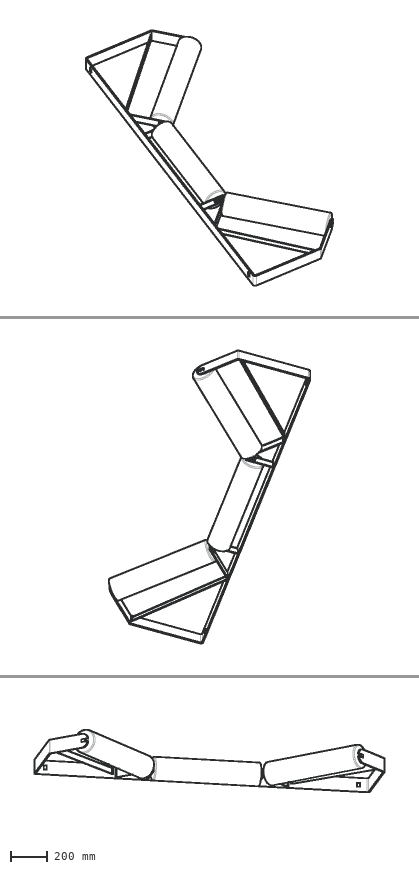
import cadquery as cq
import math

FRAME_LENGTH = 1890.0
FRAME_HEIGHT = 80.0
BAR_THICKNESS = 8.0
BEND_RADIUS = 15.0
ARM_BEND_RADIUS = 8.0
ARM_OVERHANG = 32.0
WALL_DEPTH = 425.0

ROLLER_DIAMETER = 133.0
ROLLER_LENGTH = 601.0
ROLLER_EDGE_RADIUS = 5.0
SPINDLE_DIAMETER = 25.0
SPINDLE_FLATS = 16.3

TROUGH_ANGLE = 45.0
SIDE_ROLLER_X = 565.0
SIDE_ROLLER_Y = 361.0
CENTRE_ROLLER_Y = 123.0
INNER_AXIS_Z = -6.2
OUTER_AXIS_Z = 0.0

BRACKET_THICKNESS = 6.0
BRACKET_HEIGHT = 50.0
BRACKET_Z = -10.4
BRACKET_GAP = 4.0
BRACKET_OVERHANG = 43.0

BRACE_THICKNESS = 6.0
BRACE_HEIGHT = 34.0
BRACE_FOOT_X = 500.0

HOLE_X = 883.0
HOLE_WIDTH = 17.0
HOLE_HEIGHT = 23.0

half_length = FRAME_LENGTH / 2
cos_trough = math.cos(math.radians(TROUGH_ANGLE))
sin_trough = math.sin(math.radians(TROUGH_ANGLE))


def side_point(along, across):
    """XY point on the +X side: along the side roller axis (outwards) and across it (upwards in Y)."""
    return (
        SIDE_ROLLER_X + along * cos_trough - across * sin_trough,
        SIDE_ROLLER_Y + along * sin_trough + across * cos_trough,
    )


arm_face = (half_length - SIDE_ROLLER_X) * cos_trough + (WALL_DEPTH - SIDE_ROLLER_Y) * sin_trough
plate_face = ROLLER_LENGTH / 2 + BRACKET_GAP
plate_back = plate_face + BRACKET_THICKNESS
inner_corner_y = WALL_DEPTH - BAR_THICKNESS * math.tan(math.radians(TROUGH_ANGLE / 2))
side_axis_drop = OUTER_AXIS_Z - INNER_AXIS_Z
side_axis_tilt = math.degrees(math.atan2(side_axis_drop, arm_face + plate_back))
side_axis_z = INNER_AXIS_Z + plate_back * math.tan(math.radians(side_axis_tilt))


def on_both_sides(shape):
    return shape.union(shape.mirror("YZ"))


def flat_bar(points, height, middle_z):
    """Closed XY outline extruded symmetrically about a height."""
    return (
        cq.Workplane("XY").workplane(offset=middle_z - height / 2).polyline(points).close().extrude(height)
    )


def place_on_side_axis(shape):
    """Move a shape built along +X about the origin onto the tilted axis of the +X side roller."""
    return (
        shape.rotate((0, 0, 0), (0, 1, 0), -side_axis_tilt)
        .rotate((0, 0, 0), (0, 0, 1), TROUGH_ANGLE)
        .translate((SIDE_ROLLER_X, SIDE_ROLLER_Y, side_axis_z))
    )


def place_on_centre_axis(shape):
    return shape.translate((0, CENTRE_ROLLER_Y, INNER_AXIS_Z))


def spindle(start, end):
    """Round spindle along X with two flats facing up and down."""
    length = end - start
    rod = cq.Workplane("YZ").workplane(offset=start).circle(SPINDLE_DIAMETER / 2).extrude(length)
    flats = cq.Workplane("YZ").workplane(offset=start).rect(SPINDLE_DIAMETER, SPINDLE_FLATS).extrude(length)
    return rod.intersect(flats)


def roller(spindle_start, spindle_end):
    """Solid roller along X, centred on the origin, with its spindle ends."""
    drum = (
        cq.Workplane("YZ").workplane(offset=-ROLLER_LENGTH / 2)
        .circle(ROLLER_DIAMETER / 2).extrude(ROLLER_LENGTH)
        .edges("%CIRCLE").fillet(ROLLER_EDGE_RADIUS)
    )
    return drum.union(spindle(spindle_start, spindle_end))


def spindle_slot(start, end):
    """Cutter for a slot that seats a spindle and opens towards +Y."""
    opening = (
        cq.Workplane("XY").box(end - start, FRAME_HEIGHT, SPINDLE_FLATS, centered=(False, False, True))
        .translate((start, 0, 0))
    )
    return opening.union(spindle(start, end))


def bent_bar():
    """Front bar, side walls and inclined arms as one bent flat bar."""
    def outline(inset, corner_y):
        right = [
            (half_length - inset, inset),
            (half_length - inset, corner_y),
            side_point(arm_face - inset, ARM_OVERHANG),
        ]
        left = [(-x, y) for x, y in reversed(right)]
        return right, left

    outer_right, outer_left = outline(0, WALL_DEPTH)
    inner_right, inner_left = outline(BAR_THICKNESS, inner_corner_y)
    bar = flat_bar(outer_left + outer_right + inner_right[::-1] + inner_left[::-1], FRAME_HEIGHT, 0)

    bends = [
        (outer_right[0], BEND_RADIUS),
        (inner_right[0], BEND_RADIUS - BAR_THICKNESS),
        (outer_right[1], ARM_BEND_RADIUS),
    ]
    for (x, y), radius in bends:
        for side in (-1, 1):
            corner = cq.selectors.NearestToPointSelector((side * x, y, 0))
            bar = bar.edges("|Z").edges(corner).fillet(radius)
    return bar


def mounting_holes():
    return (
        cq.Workplane("XZ").pushPoints([(-HOLE_X, 0), (HOLE_X, 0)])
        .rect(HOLE_WIDTH, HOLE_HEIGHT).extrude(-BAR_THICKNESS)
    )


def arm_tip_corners():
    """Cutter that leaves the tip of the +X arm as a full round as wide as the bar."""
    radius = FRAME_HEIGHT / 2
    tip_block = cq.Workplane("YZ").center(radius / 2, 0).rect(radius, FRAME_HEIGHT).extrude(BAR_THICKNESS)
    tip_round = cq.Workplane("YZ").circle(radius).extrude(BAR_THICKNESS)
    return (
        tip_block.cut(tip_round)
        .translate((arm_face - BAR_THICKNESS, ARM_OVERHANG - radius, 0))
        .rotate((0, 0, 0), (0, 0, 1), TROUGH_ANGLE)
        .translate((SIDE_ROLLER_X, SIDE_ROLLER_Y, 0))
    )


def bracket():
    """Bent plate of the +X side carrying the inner spindle ends of the side and centre rollers."""
    foot_y = BAR_THICKNESS
    top_y = CENTRE_ROLLER_Y + BRACKET_OVERHANG

    def inclined(along, y):
        across = (y - SIDE_ROLLER_Y - along * sin_trough) / cos_trough
        return side_point(along, across)

    points = [
        (plate_face, foot_y),
        (plate_face, top_y),
        inclined(-plate_face, top_y),
        inclined(-plate_face, foot_y),
        inclined(-plate_back, foot_y),
        inclined(-plate_back, top_y - BRACKET_THICKNESS),
        (plate_back, top_y - BRACKET_THICKNESS),
        (plate_back, foot_y),
    ]
    return flat_bar(points, BRACKET_HEIGHT, BRACKET_Z)


def brace():
    """Diagonal strut of the +X side from the arm corner to the front bar."""
    head_x = half_length - BAR_THICKNESS
    head_y = inner_corner_y
    foot_y = BAR_THICKNESS
    slope = math.atan2(head_y - foot_y, head_x - BRACE_FOOT_X)
    width_x = BRACE_THICKNESS / math.sin(slope)
    width_y = BRACE_THICKNESS / math.cos(slope)
    points = [
        (BRACE_FOOT_X, foot_y),
        (BRACE_FOOT_X + width_x, foot_y),
        (head_x, head_y - width_y),
        (head_x, head_y),
    ]
    return flat_bar(points, BRACE_HEIGHT, 0)


def build_frame():
    slot_end = plate_back + BAR_THICKNESS
    centre_slot = place_on_centre_axis(spindle_slot(-slot_end, slot_end))
    side_slot = place_on_side_axis(spindle_slot(-slot_end, arm_face + BAR_THICKNESS))
    body = bent_bar().cut(mounting_holes()).cut(on_both_sides(arm_tip_corners()))
    body = body.union(on_both_sides(bracket())).union(on_both_sides(brace()))
    return body.cut(on_both_sides(side_slot)).cut(centre_slot)


frame = build_frame()
side_roller = place_on_side_axis(roller(-plate_back, arm_face))
centre_roller = place_on_centre_axis(roller(-plate_back, plate_back))
rollers = [centre_roller, side_roller, side_roller.mirror("YZ")]

result = cq.Compound.makeCompound([frame.val(), *[body.val() for body in rollers]])